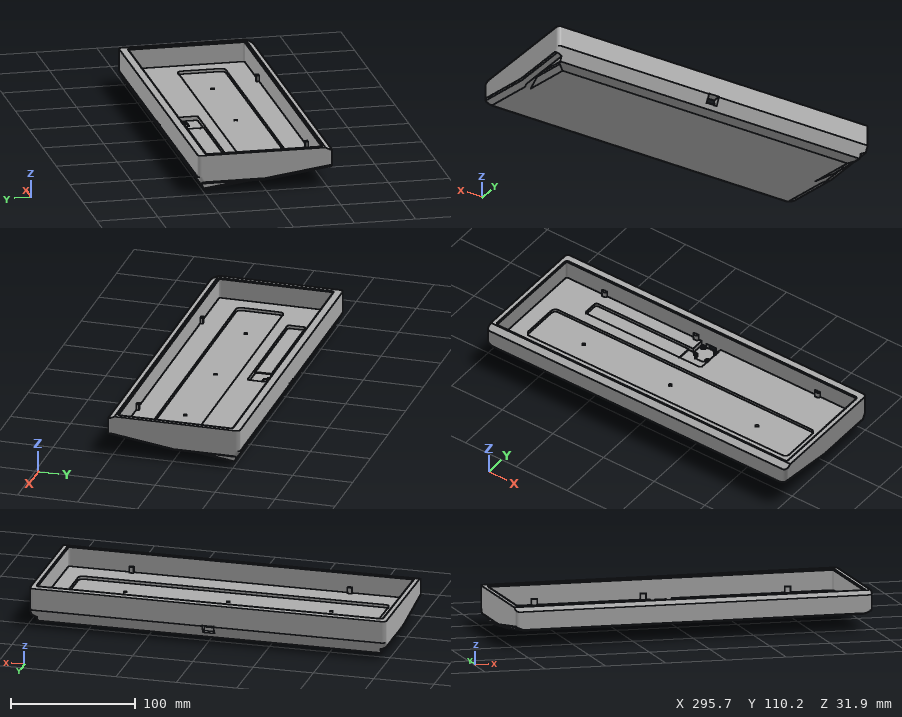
import cadquery as cq
import math

length = 295.7
width = 110.2
height = 31.86

half_length = length / 2
front_y = -width / 2
back_y = width / 2

tilt = 8.0
front_bottom_z = -18.2
front_chamfer = (0.45, 0.75)
lip_length = 6.0
lip_angle = 26.0
bevel_top_z = -18.3
bevel_depth = 5.6
bevel_bottom_z = -29.0
corner_radius = 3.2

edge_chamfer = 1.1
edge_slope = 24.0
edge_width = 7.0
flat_ledge_z = -25.2
foot_inset = 5.4

pocket_length = 286.0
pocket_front_y = -47.3
pocket_back_y = 47.7
pocket_depth = 17.0
pocket_corner_radius = 1.5
rim_chamfer = 0.8

recess_size = (257.6, 39.2)
recess_center_y = -8.4
recess_depth = 2.5
recess_radius = 4.0
screw_hole_diameter = 2.53
screw_hole_spacing = 85.5
screw_hole_depth = 2.0

channel_left_x = -105.5
channel_front_y = 20.9
channel_back_y = 36.0
channel_depth = 2.7
channel_radius = 2.0
connector_left_x = -9.6
connector_right_x = 9.1
connector_bay_left_x = -14.1
connector_depth = 3.5
clearance_depth = 1.0
board_hole_diameter = 1.6
board_hole_depth = 2.0
board_hole_spacing = (13.0, 12.0)
board_hole_center_y = 40.2
board_pad_radius = 2.4
tab_width = 9.5
tab_front_y = 30.7
tab_radius = 1.5
clearance_front_y = 36.0
port_width = 9.5
port_height = 7.0
port_top_drop = 0.8

bump_width = 4.8
bump_reach = 2.1
bump_height = 4.9
bump_radius = 1.5
back_bump_xs = (-105.0, -14.7, 105.0)
front_bump_xs = (-90.5, 90.5)
front_bump_width = 3.6

floor_z = -pocket_depth
recess_floor_z = floor_z - recess_depth
channel_floor_z = floor_z - channel_depth
connector_floor_z = floor_z - connector_depth
clearance_floor_z = connector_floor_z - clearance_depth
connector_x = (connector_left_x + connector_right_x) / 2


def box(x_min, x_max, y_min, y_max, z_min, z_max):
    """Axis-aligned block given by its limits."""
    return (
        cq.Workplane("XY", origin=((x_min + x_max) / 2, (y_min + y_max) / 2, z_min))
        .rect(x_max - x_min, y_max - y_min)
        .extrude(z_max - z_min)
    )


def block():
    """Solid outer shape with rounded corners, before the ends are relieved underneath."""
    lip_drop = lip_length * math.tan(math.radians(lip_angle))
    slope = math.tan(math.radians(tilt))
    bottom_run = (front_bottom_z + height) / slope
    chamfer_run, chamfer_rise = front_chamfer
    profile = [
        (front_y, -lip_drop),
        (front_y + lip_length, 0),
        (back_y, 0),
        (back_y, bevel_top_z),
        (back_y - bevel_depth, bevel_bottom_z),
        (front_y + bottom_run, -height),
        (front_y + chamfer_run, front_bottom_z - chamfer_run * slope),
        (front_y, front_bottom_z + chamfer_rise),
    ]
    solid = cq.Workplane("YZ", origin=(-half_length, 0, 0)).polyline(profile).close().extrude(length)
    bevel_y = back_y - bevel_depth / 2
    bevel_z = (bevel_top_z + bevel_bottom_z) / 2
    corners = solid.edges("|Z")
    for x in (-half_length, half_length):
        corners = corners.add(solid.edges(cq.selectors.NearestToPointSelector((x, bevel_y, bevel_z))))
    return corners.fillet(corner_radius)


def relieved_bar(half_width, bottom_width):
    """Long bar along Y whose flat underside, at Z = 0, is relieved along both long edges."""
    ramp_height = (bottom_width - edge_chamfer) * math.tan(math.radians(edge_slope))
    shoulder_z = ramp_height + edge_chamfer
    bar_top = 2 * height
    half_section = [
        (half_width - bottom_width, 0),
        (half_width - edge_chamfer, ramp_height),
        (half_width, shoulder_z),
        (half_width, bar_top),
    ]
    mirrored_half = [(-x, z) for x, z in reversed(half_section)]
    section = half_section + mirrored_half
    return cq.Workplane("XZ").polyline(section).close().extrude(2 * width, both=True)


def tilted(bar):
    """Bar turned to the slope of the bottom and set on the front bottom edge."""
    return bar.rotate((0, 0, 0), (1, 0, 0), -tilt).translate((0, front_y, front_bottom_z))


def shell():
    """Outer shape: a body with relieved ends, standing on a narrower foot."""
    solid = block()
    flat_bar = relieved_bar(half_length, foot_inset).translate((0, 0, flat_ledge_z))
    body = solid.intersect(tilted(relieved_bar(half_length, edge_width))).intersect(flat_bar)
    foot = solid.intersect(tilted(relieved_bar(half_length - foot_inset, edge_width)))
    return body.union(foot)


def main_pocket():
    """Open pocket with a chamfered mouth."""
    half = pocket_length / 2
    pocket = box(-half, half, pocket_front_y, pocket_back_y, floor_z, 0)
    pocket = pocket.edges("|Z").fillet(pocket_corner_radius)
    flare = box(
        -half - rim_chamfer, half + rim_chamfer,
        pocket_front_y - rim_chamfer, pocket_back_y + rim_chamfer,
        -rim_chamfer, rim_chamfer,
    )
    flare = flare.edges("|Z").fillet(pocket_corner_radius + rim_chamfer)
    flare = flare.faces("<Z").edges().chamfer(rim_chamfer)
    return pocket.union(flare)


def floor_recess():
    """Wide recess with three screw holes."""
    recess = (
        cq.Workplane("XY", origin=(0, recess_center_y, recess_floor_z))
        .rect(*recess_size)
        .extrude(recess_depth)
        .edges("|Z")
        .fillet(recess_radius)
    )
    holes = (
        cq.Workplane("XY", origin=(0, recess_center_y, recess_floor_z))
        .pushPoints([(-screw_hole_spacing, 0), (0, 0), (screw_hole_spacing, 0)])
        .circle(screw_hole_diameter / 2)
        .extrude(-screw_hole_depth)
    )
    return recess.union(holes)


def cable_channel():
    """Shallow channel that leads to a deeper bay in front of the connector."""
    channel = box(
        channel_left_x, connector_right_x, channel_front_y, channel_back_y, channel_floor_z, floor_z
    )
    bay = box(
        connector_bay_left_x, connector_right_x, channel_front_y, channel_back_y, connector_floor_z, floor_z
    )
    neck = box(
        connector_left_x, connector_right_x, channel_back_y - channel_radius, pocket_back_y,
        connector_floor_z, floor_z,
    )
    channel = channel.edges("|Z and (<X or <Y)").fillet(channel_radius)
    bay = bay.edges("|Z and <Y").fillet(channel_radius)
    return channel.union(bay).union(neck)


def board_clearance():
    """Deeper area under the connector board that leaves a pad round each screw hole."""
    area = box(
        connector_left_x, connector_right_x, clearance_front_y, pocket_back_y,
        clearance_floor_z, connector_floor_z,
    )
    tab = box(
        connector_x - tab_width / 2, connector_x + tab_width / 2, tab_front_y, clearance_front_y,
        clearance_floor_z, connector_floor_z,
    ).edges("|Z and <Y").fillet(tab_radius)
    points = (
        cq.Workplane("XY", origin=(connector_x, board_hole_center_y, connector_floor_z))
        .rarray(*board_hole_spacing, 2, 2)
    )
    pads = points.circle(board_pad_radius).extrude(-clearance_depth)
    holes = points.circle(board_hole_diameter / 2).extrude(-board_hole_depth)
    return area.union(tab).cut(pads).union(holes)


def port():
    """Opening through the back wall for the connector."""
    top_z = floor_z - port_top_drop
    return box(
        connector_x - port_width / 2, connector_x + port_width / 2, pocket_back_y, back_y,
        top_z - port_height, top_z,
    )


def bump(x, wall_y, size_x):
    """Post on the pocket floor that stands out from both sides of the wall face at wall_y."""
    return box(
        x - size_x / 2, x + size_x / 2, wall_y - bump_reach, wall_y + bump_reach,
        floor_z, floor_z + bump_height,
    )


result = shell()
for cutter in (main_pocket(), floor_recess(), cable_channel(), board_clearance(), port()):
    result = result.cut(cutter)
for bump_x in back_bump_xs:
    result = result.union(bump(bump_x, pocket_back_y, bump_width).edges("|Z").fillet(bump_radius))
for bump_x in front_bump_xs:
    result = result.union(bump(bump_x, pocket_front_y, front_bump_width))